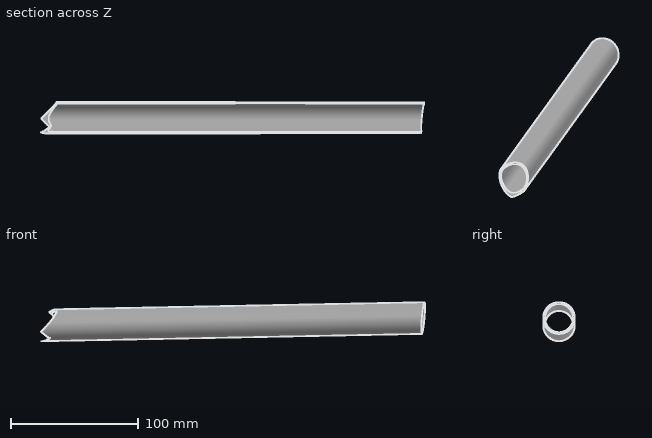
import cadquery as cq

OUTER_DIAMETER = 25.0
WALL = 1.5
AXIS_LENGTH = 300.0
TUBE_TILT = 1.1
UPPER_TUBE_ANGLE = 113
SIDE_TUBE_ANGLE = -3
NEIGHBOUR_LEAN = 1
END_CUT_ANGLE = 8
END_CUT_DIRECTION = 49

OUTER_RADIUS = OUTER_DIAMETER / 2
CUT_REACH = 3 * OUTER_DIAMETER
X_AXIS = ((0, 0, 0), (1, 0, 0))
Y_AXIS = ((0, 0, 0), (0, 1, 0))
Z_AXIS = ((0, 0, 0), (0, 0, 1))


def make_tube():
    blank_length = AXIS_LENGTH + 2 * OUTER_DIAMETER
    return (
        cq.Workplane("YZ")
        .workplane(offset=-OUTER_DIAMETER)
        .circle(OUTER_RADIUS)
        .circle(OUTER_RADIUS - WALL)
        .extrude(blank_length)
    )


def half_space_box():
    """Block filling the +Y side of the joint."""
    return cq.Workplane("XY").box(
        2 * CUT_REACH, CUT_REACH, 2 * CUT_REACH, centered=(True, False, True)
    )


def saddle_cutter(tube_angle, side_angle):
    """Material removed by one neighbouring tube, on its own side of the mitre plane."""
    neighbour = (
        cq.Workplane("XZ")
        .circle(OUTER_RADIUS)
        .extrude(CUT_REACH, both=True)
    )
    beyond_axis = cq.Workplane("XY").box(
        CUT_REACH, 2 * CUT_REACH, CUT_REACH, centered=(True, True, True)
    ).translate((-CUT_REACH / 2, 0, 0))
    cutter = neighbour.union(beyond_axis)
    cutter = cutter.rotate(*Z_AXIS, -NEIGHBOUR_LEAN).rotate(*X_AXIS, tube_angle)
    return cutter.intersect(half_space_box().rotate(*X_AXIS, side_angle))


def end_cutter():
    """Block beyond the oblique far end face."""
    block = cq.Workplane("XY").box(
        CUT_REACH, 2 * CUT_REACH, 2 * CUT_REACH, centered=(False, True, True)
    )
    return (
        block.rotate(*Z_AXIS, -END_CUT_ANGLE)
        .rotate(*X_AXIS, END_CUT_DIRECTION)
        .translate((AXIS_LENGTH, 0, 0))
    )


mitre_angle = (UPPER_TUBE_ANGLE + SIDE_TUBE_ANGLE) / 2
tube = make_tube()
tube = tube.cut(saddle_cutter(UPPER_TUBE_ANGLE, mitre_angle + 90))
tube = tube.cut(saddle_cutter(SIDE_TUBE_ANGLE, mitre_angle - 90))
tube = tube.cut(end_cutter())

result = tube.rotate(*Y_AXIS, -TUBE_TILT)